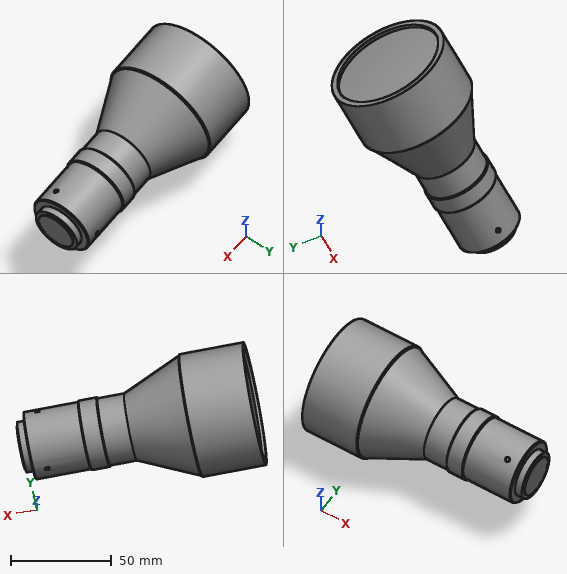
import cadquery as cq
import math

length = 118.2
hood_end = 32.5
cone_end = 61.8
tube_start = 62.8
collar_start = 76.1
collar_end = 85.9
tube_end = 113.7
mount_end = 117.6

hood_radius = 62.0 / 2
tube_radius = 17.0
collar_radius = 17.6
mount_radius = 12.8
rear_lip_radius = 10.6

hood_chamfer = 0.6
collar_chamfer = 0.5
tube_chamfer = 0.5
neck_flare = 0.4

recess_radius = 27.9
recess_depth = 1.8
lens_rise = 1.1

screw_x = 106.5
screw_diameter = 2.2
screw_depth = 0.7
screw_count = 3
first_screw_angle = 30.0


def make_body():
    """Revolve the outer shape and the domed front recess about the X axis."""
    return (
        cq.Workplane("XY")
        .moveTo(recess_depth - lens_rise, 0)
        .threePointArc(lens_middle(), (recess_depth, recess_radius))
        .lineTo(0, recess_radius)
        .lineTo(0, hood_radius)
        .lineTo(hood_end - hood_chamfer, hood_radius)
        .lineTo(hood_end, hood_radius - hood_chamfer)
        .lineTo(cone_end, tube_radius + neck_flare)
        .lineTo(tube_start, tube_radius)
        .lineTo(collar_start, tube_radius)
        .lineTo(collar_start, collar_radius - collar_chamfer)
        .lineTo(collar_start + collar_chamfer, collar_radius)
        .lineTo(collar_end - collar_chamfer, collar_radius)
        .lineTo(collar_end, collar_radius - collar_chamfer)
        .lineTo(collar_end, tube_radius)
        .lineTo(tube_end - tube_chamfer, tube_radius)
        .lineTo(tube_end, tube_radius - tube_chamfer)
        .lineTo(tube_end, mount_radius)
        .lineTo(mount_end, mount_radius)
        .lineTo(mount_end, rear_lip_radius)
        .lineTo(length, rear_lip_radius)
        .lineTo(length, 0)
        .close()
        .revolve(360, (0, 0, 0), (1, 0, 0))
    )


def lens_middle():
    """Return a point halfway out along the spherical lens profile."""
    sphere_radius = (recess_radius**2 + lens_rise**2) / (2 * lens_rise)
    half_radius = recess_radius / 2
    sag = sphere_radius - math.sqrt(sphere_radius**2 - half_radius**2)
    return (recess_depth - lens_rise + sag, half_radius)


def make_screw_hole(angle):
    """Return the cutter for one blind radial hole."""
    cutter_length = 2 * screw_depth
    return (
        cq.Workplane("XY", origin=(screw_x, 0, tube_radius - screw_depth))
        .circle(screw_diameter / 2)
        .extrude(cutter_length)
        .rotate((0, 0, 0), (1, 0, 0), angle)
    )


result = make_body()
for index in range(screw_count):
    result = result.cut(make_screw_hole(first_screw_angle + index * 360 / screw_count))